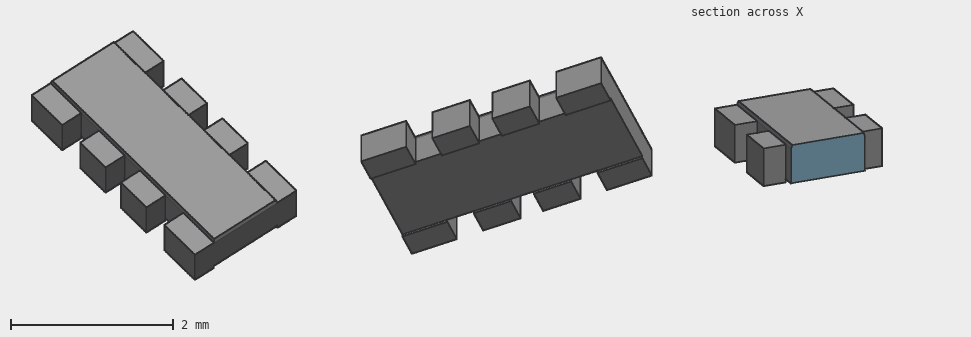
import cadquery as cq

LENGTH = 3.2
WIDTH = 1.6
HEIGHT = 0.55

TERMINAL_DEPTH = 0.3
PLATING = 0.04
OUTER_TERMINAL_LENGTH = 0.6
INNER_TERMINAL_LENGTH = 0.5
INNER_TERMINAL_GAP = 0.3

COAT_RISE = 0.05
COAT_INSET = 0.015

TERMINAL_TOP = HEIGHT - COAT_RISE
CORE_WIDTH = WIDTH - 2 * TERMINAL_DEPTH
TERMINAL_Y = (WIDTH - TERMINAL_DEPTH) / 2
OUTER_TERMINAL_X = (LENGTH - OUTER_TERMINAL_LENGTH) / 2
INNER_TERMINAL_X = (INNER_TERMINAL_GAP + INNER_TERMINAL_LENGTH) / 2


def block(length, width, bottom, top, x=0, y=0):
    """Box centred on (x, y), reaching from bottom to top in Z."""
    return (
        cq.Workplane("XY")
        .box(length, width, top - bottom, centered=(True, True, False))
        .translate((x, y, bottom))
    )


def make_core():
    """Substrate strip between the terminal rows, raised by the plating under the feet."""
    return block(LENGTH, CORE_WIDTH, PLATING, TERMINAL_TOP)


def make_coat():
    """Frustum standing on the core, narrowing by the inset on every side."""
    return (
        cq.Workplane("XY")
        .workplane(offset=TERMINAL_TOP)
        .rect(LENGTH, CORE_WIDTH)
        .workplane(offset=COAT_RISE)
        .rect(LENGTH - 2 * COAT_INSET, CORE_WIDTH - 2 * COAT_INSET)
        .loft(ruled=True)
    )


def make_terminal(length, x, y):
    """Full-height terminal block, from the foot up to the underside of the coat."""
    return block(length, TERMINAL_DEPTH, 0, TERMINAL_TOP, x, y)


result = make_core().union(make_coat())
for side_y in (-1, 1):
    for side_x in (-1, 1):
        terminal_y = side_y * TERMINAL_Y
        result = result.union(make_terminal(OUTER_TERMINAL_LENGTH, side_x * OUTER_TERMINAL_X, terminal_y))
        result = result.union(make_terminal(INNER_TERMINAL_LENGTH, side_x * INNER_TERMINAL_X, terminal_y))
result = result.clean()